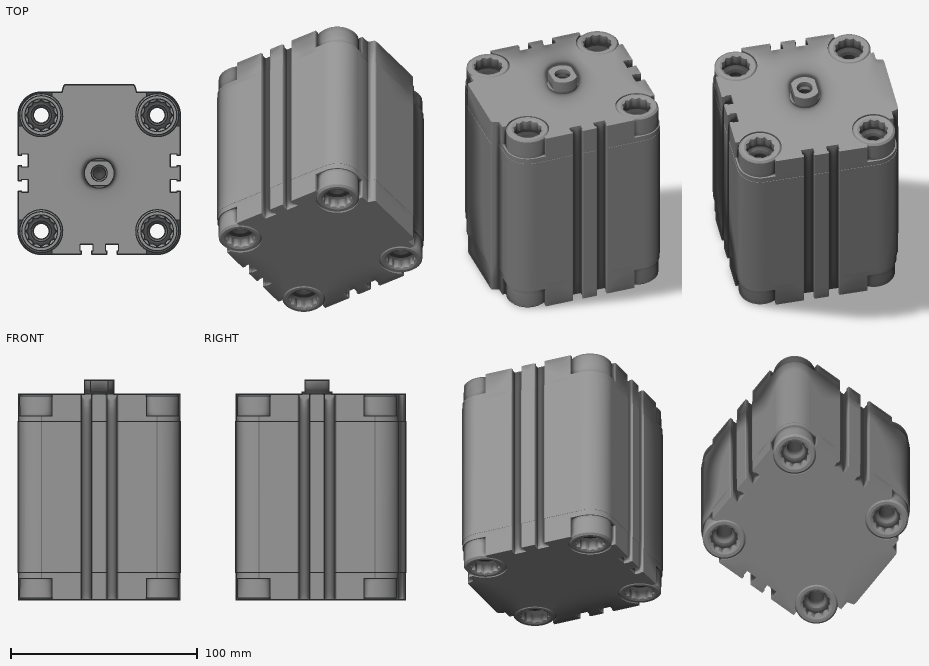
import cadquery as cq
import math

total_height = 117.5
rod_projection = 7.5
housing_height = total_height - rod_projection
cap_height = 14.6

half_width = 43.5
corner_radius = 12.5
cap_inset = 0.18

rail_height = 4.0
rail_top_half = 18.8
rail_base_half = 20
rail_edge_radius = 1.4

slot_offset = 6.8
slot_width = 6.7
slot_mouth_width = 5.5
slot_depth = 5.4
slot_lip = 2.0
slot_edge_radius = 0.5

boss_position = half_width - corner_radius
boss_diameter = 23.0
boss_height = 11.5
boss_chamfer = 1.0
notch_reach = 5.9

socket_corner_diameter = 16.0
socket_mouth_diameter = 17.5
socket_lead_in_end_diameter = 13.4
socket_lead_in_depth = 1.0
socket_spline_depth = 5.6
socket_relief_diameter = 16.5
socket_depth = 8.0
hexagon_sides = 6

screw_hole_diameter = 8.3
screw_hole_mouth_diameter = 11.0

rod_diameter = 16.0
rod_flats_width = 12.9
rod_flat_height = 6.2
rod_seat_depth = cap_height
rod_counterbore_diameter = 8.6
rod_counterbore_depth = 3.3
rod_bore_diameter = 6.7
rod_bore_depth = 11.8
drill_tip_half_angle = 59


def cone(bottom_diameter, top_diameter, height):
    """Truncated cone around Z, standing on Z = 0."""
    return cq.Workplane(cq.Solid.makeCone(bottom_diameter / 2, top_diameter / 2, height))


def cylinder(diameter, height):
    """Cylinder around Z, standing on Z = 0."""
    return cq.Workplane().circle(diameter / 2).extrude(height)


def slot_cutter(face_position, floor_position, height):
    """Undercut slot with rounded mouth edges, open towards +X and centred on Y = 0."""
    mouth = slot_mouth_width / 2
    lip_position = half_width - slot_lip
    round_start = face_position - slot_edge_radius
    flare = mouth + slot_edge_radius
    bulge = slot_edge_radius * (1 - math.sqrt(0.5))
    return (
        cq.Workplane()
        .moveTo(floor_position, -slot_width / 2)
        .lineTo(lip_position, -slot_width / 2)
        .lineTo(lip_position, -mouth)
        .lineTo(round_start, -mouth)
        .threePointArc((face_position - bulge, -mouth - bulge), (face_position, -flare))
        .lineTo(face_position, flare)
        .threePointArc((face_position - bulge, mouth + bulge), (round_start, mouth))
        .lineTo(lip_position, mouth)
        .lineTo(lip_position, slot_width / 2)
        .lineTo(floor_position, slot_width / 2)
        .close()
        .extrude(height)
    )


def profile_section(inset, height):
    """Length of the slotted housing profile, with all outer faces moved in by the inset."""
    face = half_width - inset
    section = (
        cq.Workplane()
        .rect(2 * face, 2 * face)
        .extrude(height)
        .edges("|Z")
        .fillet(corner_radius - inset)
    )
    rail_top = half_width + rail_height - inset
    rail = (
        cq.Workplane()
        .polyline([
            (-rail_base_half, 0),
            (-rail_base_half, face),
            (-rail_top_half, rail_top),
            (rail_top_half, rail_top),
            (rail_base_half, face),
            (rail_base_half, 0),
        ])
        .close()
        .extrude(height)
        .faces(">Y")
        .edges("|Z")
        .fillet(rail_edge_radius)
    )
    section = section.union(rail)
    for face_angle in (0, 180, 270):
        for side in (-1, 1):
            slot = slot_cutter(face, half_width - slot_depth, height)
            slot = slot.translate((0, side * slot_offset, 0))
            section = section.cut(slot.rotate((0, 0, 0), (0, 0, 1), face_angle))
    return section


def boss_surround():
    """Material removed around one boss, with Z = 0 on the boss end face and the cap below it."""
    notch_size = half_width - boss_position + notch_reach
    notch = (
        cq.Workplane()
        .box(notch_size, notch_size, boss_height, centered=False)
        .translate((-notch_reach, -notch_reach, -boss_height))
        .cut(cylinder(boss_diameter, -boss_height))
    )
    rim = cylinder(boss_diameter, -boss_chamfer).cut(
        cone(boss_diameter, boss_diameter - 2 * boss_chamfer, boss_chamfer).translate((0, 0, -boss_chamfer))
    )
    return notch.union(rim)


def socket_cutter():
    """Double-hexagon screw socket below Z = 0."""
    socket = cylinder(socket_relief_diameter, socket_depth - socket_spline_depth)
    socket = socket.translate((0, 0, -socket_depth))
    for hexagon_angle in (0, 180 / hexagon_sides):
        hexagon = cq.Workplane().polygon(hexagon_sides, socket_corner_diameter).extrude(-socket_depth)
        socket = socket.union(hexagon.rotate((0, 0, 0), (0, 0, 1), hexagon_angle))
    lead_in = cone(socket_lead_in_end_diameter, socket_mouth_diameter, socket_lead_in_depth)
    socket = socket.union(lead_in.translate((0, 0, -socket_lead_in_depth)))
    countersink_depth = (screw_hole_mouth_diameter - screw_hole_diameter) / 2
    countersink = cone(screw_hole_diameter, screw_hole_mouth_diameter, countersink_depth)
    return socket.union(countersink.translate((0, 0, -socket_depth - countersink_depth)))


def make_cap():
    """Upper end cap, standing on Z = 0, with a boss and socket in each corner."""
    cap = profile_section(cap_inset, cap_height)
    surround = boss_surround()
    socket = socket_cutter()
    for corner in range(4):
        for cutter in (surround, socket):
            placed = cutter.translate((boss_position, boss_position, cap_height))
            cap = cap.cut(placed.rotate((0, 0, 0), (0, 0, 1), 90 * corner))
    return cap


def make_housing():
    """Barrel with an end cap at each end, screw holes and a seat for the rod in the upper cap."""
    barrel = profile_section(0, housing_height - 2 * cap_height).translate((0, 0, cap_height))
    cap = make_cap()
    upper_cap = cap.translate((0, 0, housing_height - cap_height))
    lower_cap = cap.mirror("XY").translate((0, 0, cap_height))
    screw_holes = (
        cq.Workplane()
        .rect(2 * boss_position, 2 * boss_position, forConstruction=True)
        .vertices()
        .circle(screw_hole_diameter / 2)
        .extrude(housing_height)
    )
    rod_seat = cylinder(rod_diameter, -rod_seat_depth).translate((0, 0, housing_height))
    return barrel.union(upper_cap).union(lower_cap).cut(screw_holes).cut(rod_seat)


def make_rod():
    """Piston rod with two wrench flats facing -Y and +Y and a stepped bore from its end."""
    rod = cylinder(rod_diameter, -(rod_seat_depth + rod_projection))
    for side in (-1, 1):
        flat = (
            cq.Workplane()
            .box(rod_diameter, rod_diameter, rod_flat_height)
            .translate((0, side * (rod_flats_width + rod_diameter) / 2, -rod_flat_height / 2))
        )
        rod = rod.cut(flat)
    step_depth = (rod_counterbore_diameter - rod_bore_diameter) / 2
    tip_depth = rod_bore_diameter / 2 / math.tan(math.radians(drill_tip_half_angle))
    bore_profile = (
        cq.Workplane("XZ")
        .polyline([
            (0, 0),
            (rod_counterbore_diameter / 2, 0),
            (rod_counterbore_diameter / 2, -rod_counterbore_depth),
            (rod_bore_diameter / 2, -rod_counterbore_depth - step_depth),
            (rod_bore_diameter / 2, -rod_bore_depth),
            (0, -rod_bore_depth - tip_depth),
        ])
        .close()
    )
    bore = bore_profile.revolve(360, (0, 0), (0, 1))
    return rod.cut(bore).translate((0, 0, total_height))


housing = make_housing()
rod = make_rod()
result = cq.Compound.makeCompound([housing.solids().val(), rod.solids().val()])